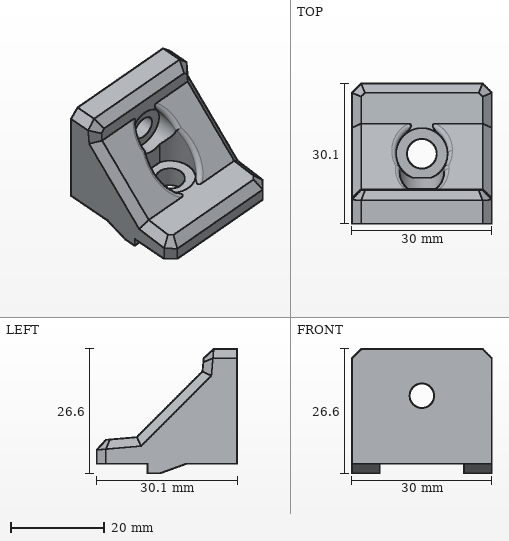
import cadquery as cq
import math

width = 30.0
depth = 30.05
height = 24.6

wall_top_thickness = 7.0
shelf_end_thickness = 5.0
face_draft = math.tan(math.radians(5.0))
web_diagonal = 27.2
chamfer = 2.0

shelf_corner_z = (shelf_end_thickness + (depth - web_diagonal) * face_draft) / (1 - face_draft)
shelf_corner_y = web_diagonal - shelf_corner_z
wall_corner_y = (wall_top_thickness + (height - web_diagonal) * face_draft) / (1 - face_draft)
wall_corner_z = web_diagonal - wall_corner_y

foot_width = 6.0
foot_height = 2.0
foot_ramp_start = 10.9
foot_flat_start = 16.4
foot_end = 19.2

plate_hole_diameter = 6.3
plate_recess_diameter = 11.0
plate_hole_y = 15.0
plate_recess_floor = 5.0
plate_recess_flat_y = 9.9

wall_hole_diameter = 5.2
wall_recess_diameter = 9.5
wall_hole_z = 14.6
wall_recess_floor = 7.0

recess_fillet = 1.0
tolerance = 0.01


def along_x(points, start_x, length):
    """Extrude a Y-Z outline along X."""
    return cq.Workplane("YZ", origin=(start_x, 0, 0)).polyline(points).close().extrude(length)


def cylinder_z(diameter, bottom_z):
    """Cylinder on the plate hole axis, open upward."""
    return cq.Workplane("XY", origin=(0, plate_hole_y, bottom_z)).circle(diameter / 2).extrude(height)


def cylinder_y(diameter, start_y):
    """Cylinder on the wall hole axis, open toward +Y."""
    return cq.Workplane("XZ", origin=(0, start_y, wall_hole_z)).circle(diameter / 2).extrude(-depth)


def is_rim(edge):
    """Edges around the inner faces: not on the mounting face or underside, and not a corner edge."""
    box = edge.BoundingBox()
    middle = edge.Center()
    touches_mounting_face = box.ymin < tolerance
    touches_underside = box.zmin < tolerance
    spans_between_sides = abs(middle.x) < tolerance
    at_concave_corner = (
        abs(middle.y - shelf_corner_y) < tolerance or abs(middle.y - wall_corner_y) < tolerance
    )
    is_concave = spans_between_sides and at_concave_corner
    return not (touches_mounting_face or touches_underside or is_concave)


def make_body():
    """Solid angle bracket with its outer corners chamfered first, then the rim of its inner faces."""
    outline = [
        (0, 0),
        (depth, 0),
        (depth, shelf_end_thickness),
        (shelf_corner_y, shelf_corner_z),
        (wall_corner_y, wall_corner_z),
        (wall_top_thickness, height),
        (0, height),
    ]
    body = along_x(outline, -width / 2, width)
    body = body.faces(">Y").edges("|Z").chamfer(chamfer)
    body = body.faces(">Z").edges("|Y").chamfer(chamfer)
    rim = [edge for edge in body.edges().vals() if is_rim(edge)]
    return body.newObject(rim).chamfer(chamfer)


def below_shelf_plane():
    """Space under the shelf face, continued inward under the web."""
    inner_z = shelf_corner_z + (shelf_corner_y - plate_hole_y) * face_draft
    outline = [
        (plate_hole_y, 0),
        (depth, 0),
        (depth, shelf_end_thickness),
        (plate_hole_y, inner_z),
    ]
    return along_x(outline, -width / 2, width)


def behind_wall_plane():
    """Space behind the wall face, continued down behind the web."""
    lower_y = wall_corner_y + (wall_corner_z - wall_hole_z) * face_draft
    outline = [
        (0, wall_hole_z),
        (lower_y, wall_hole_z),
        (wall_top_thickness, height),
        (0, height),
    ]
    return along_x(outline, -width / 2, width)


def rim_flare(bore, sharp_zone):
    """Material removed to round the rim of a bore in the web face, except in the sharp zone."""
    wedge = along_x([(0, 0), (web_diagonal, 0), (0, web_diagonal)], -width / 2, width)
    sharp = wedge.cut(bore)
    web_face = sharp.faces(cq.selectors.DirectionMinMaxSelector(cq.Vector(0, 1, 1)))
    rounded = web_face.edges("%ELLIPSE").fillet(recess_fillet)
    return sharp.cut(rounded).cut(sharp_zone)


def make_feet():
    """Ramped feet under the left and right sides."""
    outline = [
        (foot_ramp_start, 0),
        (foot_flat_start, -foot_height),
        (foot_end, -foot_height),
        (foot_end, 0),
    ]
    left_foot = along_x(outline, -width / 2, foot_width)
    right_foot = along_x(outline, width / 2 - foot_width, foot_width)
    return left_foot.union(right_foot)


def cut_plate_screw(body):
    """Vertical hole with a recess that is flat on its wall side."""
    flat_side = cq.Workplane("XY").box(
        width, plate_recess_flat_y, height, centered=(True, False, False)
    )
    recess = cylinder_z(plate_recess_diameter, plate_recess_floor).cut(flat_side)
    flare = rim_flare(cylinder_z(plate_recess_diameter, 0), below_shelf_plane())
    return body.cut(cylinder_z(plate_hole_diameter, 0)).cut(recess).cut(flare)


def cut_wall_screw(body):
    """Horizontal hole with a round recess."""
    recess = cylinder_y(wall_recess_diameter, wall_recess_floor)
    flare = rim_flare(cylinder_y(wall_recess_diameter, 0), behind_wall_plane())
    return body.cut(cylinder_y(wall_hole_diameter, 0)).cut(recess).cut(flare)


result = make_body().union(make_feet())
result = cut_plate_screw(result)
result = cut_wall_screw(result)